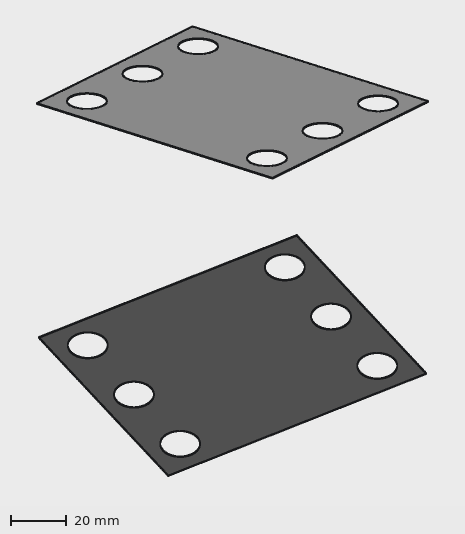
import cadquery as cq

length = 108.0
width = 89.0
thickness = 0.38

hole_diameter = 14.2
edge_distance = 12.7
columns = 2
rows = 3
column_spacing = (length - 2 * edge_distance) / (columns - 1)
row_spacing = (width - 2 * edge_distance) / (rows - 1)

plate = cq.Workplane("XY").box(length, width, thickness)

result = (
    plate.faces(">Z")
    .workplane()
    .rarray(column_spacing, row_spacing, columns, rows)
    .hole(hole_diameter)
)